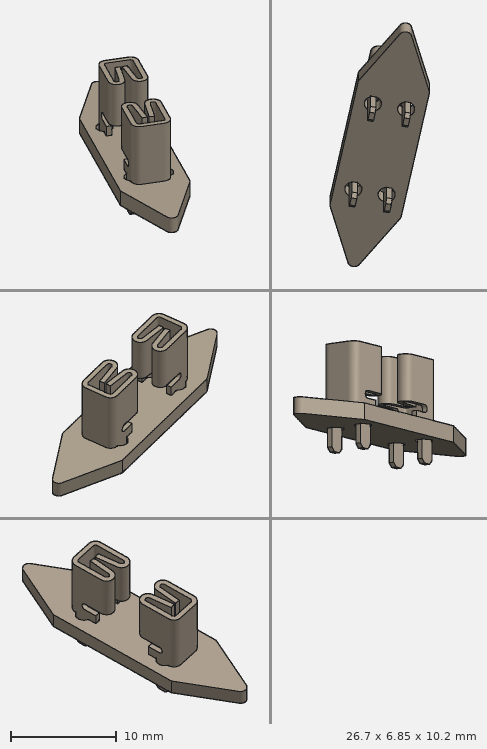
import cadquery as cq
import math

PLATE_LENGTH = 26.67
PLATE_WIDTH = 6.85
PLATE_THICKNESS = 1.6
NOSE_RADIUS = 0.61
NOSE_HALF_ANGLE = math.radians(26)
HOLE_DIAMETER = 1.6
HOLE_SPACING_Y = 3.2

CLIP_LENGTH = 4.72
CLIP_WIDTH = 3.87
CLIP_HEIGHT = 6.32
STRIP_THICKNESS = 0.53
BEND_RADIUS = 0.8
TONGUE_ANGLE = math.radians(6)
TONGUE_LENGTH = 2.43
CLIP_BACK_X = 6.45
CLIP_OFFSET_Y = 0.05

SLOT_HEIGHT = 0.75
SLOT_BOTTOM = 1.05
SLOT_START = 1.6
FOOT_LENGTH = 3.25

LEG_WIDTH = HOLE_DIAMETER
LEG_START = BEND_RADIUS
LEG_PROJECTION = 2.25
LEG_CHAMFER = 0.4

HALF_WIDTH = CLIP_WIDTH / 2
INNER_BEND_RADIUS = BEND_RADIUS - STRIP_THICKNESS
SLOT_TOP = SLOT_BOTTOM + SLOT_HEIGHT
HOLE_X = CLIP_BACK_X - LEG_START - LEG_WIDTH / 2


def around(center, radius, angle):
    """Point at a distance and direction from a center."""
    return (center[0] + radius * math.cos(angle), center[1] + radius * math.sin(angle))


def make_both_sides(half):
    """Join a body to its mirror image across the XZ plane."""
    return half.union(half.mirror("XZ"))


def make_foot():
    """Lower part of a clip: back wall and two short side walls, with the slot's round end."""
    corner = (BEND_RADIUS, HALF_WIDTH - BEND_RADIUS)
    diagonal = math.radians(135)
    half = (
        cq.Workplane("XY", origin=(0, 0, PLATE_THICKNESS))
        .moveTo(0, 0)
        .lineTo(0, corner[1])
        .threePointArc(around(corner, BEND_RADIUS, diagonal), (corner[0], HALF_WIDTH))
        .lineTo(FOOT_LENGTH, HALF_WIDTH)
        .lineTo(FOOT_LENGTH, HALF_WIDTH - STRIP_THICKNESS)
        .lineTo(corner[0], HALF_WIDTH - STRIP_THICKNESS)
        .threePointArc(around(corner, INNER_BEND_RADIUS, diagonal), (STRIP_THICKNESS, corner[1]))
        .lineTo(STRIP_THICKNESS, 0)
        .close()
        .extrude(SLOT_TOP)
    )
    slot_radius = SLOT_HEIGHT / 2
    slot_low = PLATE_THICKNESS + SLOT_BOTTOM
    slot_high = PLATE_THICKNESS + SLOT_TOP
    slot = (
        cq.Workplane("XZ")
        .moveTo(FOOT_LENGTH, slot_low)
        .lineTo(SLOT_START + slot_radius, slot_low)
        .threePointArc(
            (SLOT_START, slot_low + slot_radius),
            (SLOT_START + slot_radius, slot_high),
        )
        .lineTo(FOOT_LENGTH, slot_high)
        .close()
        .extrude(HALF_WIDTH, both=True)
    )
    return make_both_sides(half).cut(slot)


def make_spring():
    """Upper part of a clip: the box with its two tongues folded inward."""
    corner = (BEND_RADIUS, HALF_WIDTH - BEND_RADIUS)
    fold = (CLIP_LENGTH - BEND_RADIUS, HALF_WIDTH - BEND_RADIUS)
    diagonal = math.radians(135)
    fold_end = TONGUE_ANGLE - math.radians(90)
    fold_middle = TONGUE_ANGLE / 2
    tongue_direction = TONGUE_ANGLE + math.pi
    outer_root = around(fold, BEND_RADIUS, fold_end)
    inner_root = around(fold, INNER_BEND_RADIUS, fold_end)
    half = (
        cq.Workplane("XY", origin=(0, 0, PLATE_THICKNESS + SLOT_TOP))
        .moveTo(0, 0)
        .lineTo(0, corner[1])
        .threePointArc(around(corner, BEND_RADIUS, diagonal), (corner[0], HALF_WIDTH))
        .lineTo(fold[0], HALF_WIDTH)
        .threePointArc(around(fold, BEND_RADIUS, fold_middle), outer_root)
        .lineTo(*around(outer_root, TONGUE_LENGTH, tongue_direction))
        .lineTo(*around(inner_root, TONGUE_LENGTH, tongue_direction))
        .lineTo(*inner_root)
        .threePointArc(
            around(fold, INNER_BEND_RADIUS, fold_middle),
            (fold[0], HALF_WIDTH - STRIP_THICKNESS),
        )
        .lineTo(corner[0], HALF_WIDTH - STRIP_THICKNESS)
        .threePointArc(around(corner, INNER_BEND_RADIUS, diagonal), (STRIP_THICKNESS, corner[1]))
        .lineTo(STRIP_THICKNESS, 0)
        .close()
        .extrude(CLIP_HEIGHT - SLOT_TOP)
    )
    return make_both_sides(half)


def make_legs():
    """Two legs that run down from the side walls through the plate."""
    leg = (
        cq.Workplane("XY")
        .box(
            LEG_WIDTH,
            STRIP_THICKNESS,
            PLATE_THICKNESS + LEG_PROJECTION,
            centered=(False, False, False),
        )
        .edges("|Y and <Z")
        .chamfer(LEG_CHAMFER)
        .translate((LEG_START, HALF_WIDTH - STRIP_THICKNESS, -LEG_PROJECTION))
    )
    return make_both_sides(leg)


def make_clips():
    """One clip at each end of the plate, the second turned half a turn about Z."""
    clip = make_foot().union(make_spring()).union(make_legs()).clean()
    placed = clip.translate((-CLIP_BACK_X, CLIP_OFFSET_Y, 0))
    return [placed.rotate((0, 0, 0), (0, 0, 1), angle) for angle in (0, 180)]


def make_plate(clips):
    """Pointed bar with four round holes, opened further where the wide legs pass through."""
    tip_x = PLATE_LENGTH / 2 - NOSE_RADIUS + NOSE_RADIUS / math.sin(NOSE_HALF_ANGLE)
    shoulder_y = PLATE_WIDTH / 2
    shoulder_x = tip_x - shoulder_y / math.tan(NOSE_HALF_ANGLE)
    plate = (
        cq.Workplane("XY")
        .polyline(
            [
                (tip_x, 0),
                (shoulder_x, shoulder_y),
                (-shoulder_x, shoulder_y),
                (-tip_x, 0),
                (-shoulder_x, -shoulder_y),
                (shoulder_x, -shoulder_y),
            ]
        )
        .close()
        .extrude(PLATE_THICKNESS)
        .edges("|Z and (<X or >X)")
        .fillet(NOSE_RADIUS)
    )
    holes = (
        cq.Workplane("XY")
        .rarray(2 * HOLE_X, HOLE_SPACING_Y, 2, 2)
        .circle(HOLE_DIAMETER / 2)
        .extrude(PLATE_THICKNESS)
    )
    plate = plate.cut(holes)
    for clip in clips:
        plate = plate.cut(clip)
    return plate


clips = make_clips()
plate = make_plate(clips)

result = cq.Compound.makeCompound([plate.val(), *[clip.val() for clip in clips]])